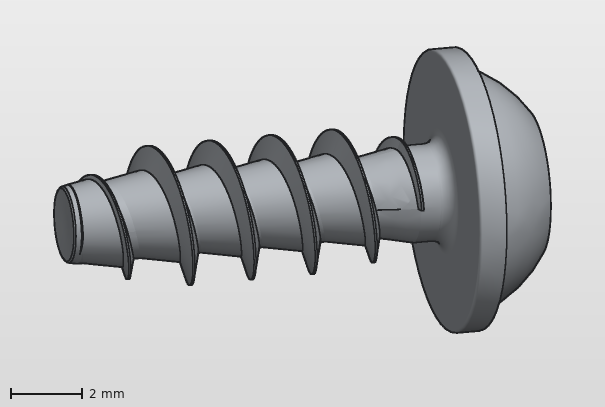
import cadquery as cq
import math


flange_radius = 4.0
flange_thickness = 0.8
flange_edge_round = 0.08
head_height = 2.6
dome_base_radius = 3.5
dome_top_radius = 2.11

shank_length = 11.0
neck_radius = 1.37
neck_length = 0.97
neck_fillet = 0.4
groove_radius = 1.125
groove_top_depth = 2.1
tip_radius = 1.08
tip_taper = 0.165
tip_edge_chamfer = 0.05
tip_dimple_depth = 0.05

pitch = 1.78
thread_radius = 2.0
flank_slope = math.tan(math.radians(18))
crest_half_width = 0.03
phase_depth = 0.725
lead_in_turns = 0.25
full_height_start = 1.25
full_height_end = 4.35
last_turn = 5.62
crest_radius_at_start = 1.52
crest_radius_at_end = 1.11
root_radius = 1.335
root_taper = 0.185
root_cone_radius_at_tip = 1.07
last_root_depth = 10.8
buried_radius = 1.07
turn_gap = 0.01
stations_per_turn = 12


def revolve_about_axis(profile):
    return profile.close().revolve(360, (0, 0, 0), (0, 1, 0))


def make_flange():
    disc = cq.Workplane("XZ").circle(flange_radius).extrude(-flange_thickness)
    return disc.edges().fillet(flange_edge_round)


def make_dome():
    """Spherical dome, centred on the axis and cut flat at the top."""
    rim_gap = dome_base_radius**2 + flange_thickness**2 - dome_top_radius**2 - head_height**2
    centre_y = rim_gap / (2 * (flange_thickness - head_height))
    sphere_radius = math.hypot(dome_base_radius, flange_thickness - centre_y)
    middle_y = (flange_thickness + head_height) / 2
    middle_radius = math.sqrt(sphere_radius**2 - (middle_y - centre_y) ** 2)
    base_y = flange_thickness / 2
    profile = (
        cq.Workplane("XY")
        .moveTo(0, base_y)
        .lineTo(dome_base_radius, base_y)
        .lineTo(dome_base_radius, flange_thickness)
        .threePointArc((middle_radius, middle_y), (dome_top_radius, head_height))
        .lineTo(0, head_height)
    )
    return revolve_about_axis(profile)


def make_core():
    """Filleted neck, cone down to the groove radius, core and dimpled tip."""
    taper_start = shank_length - (groove_radius - tip_radius) / tip_taper
    arc_offset = neck_fillet * (1 - math.sqrt(0.5))
    overlap = flange_thickness / 2
    profile = (
        cq.Workplane("XY")
        .moveTo(0, overlap)
        .lineTo(neck_radius + neck_fillet, overlap)
        .lineTo(neck_radius + neck_fillet, 0)
        .threePointArc((neck_radius + arc_offset, -arc_offset), (neck_radius, -neck_fillet))
        .lineTo(neck_radius, -neck_length)
        .lineTo(groove_radius, -groove_top_depth)
        .lineTo(groove_radius, -taper_start)
        .lineTo(tip_radius, -shank_length + tip_edge_chamfer)
        .lineTo(tip_radius - tip_edge_chamfer, -shank_length)
        .lineTo(0, -shank_length + tip_dimple_depth)
    )
    return revolve_about_axis(profile)


def helix_depth(turn):
    depth = phase_depth + pitch * turn
    if turn < lead_in_turns:
        lead_in_end = phase_depth + pitch * lead_in_turns
        depth = neck_length + (lead_in_end - neck_length) * turn / lead_in_turns
    return depth


def crest_radius(turn):
    if turn < full_height_start:
        rise = turn / full_height_start
        return crest_radius_at_start + (thread_radius - crest_radius_at_start) * rise
    if turn > full_height_end:
        fall = (turn - full_height_end) / (last_turn - full_height_end)
        return thread_radius - (thread_radius - crest_radius_at_end) * fall
    return thread_radius


def thread_section(turn):
    """Corners of the thread and of the tapered core below it, in the axial plane at this turn."""
    depth = helix_depth(turn)
    crest = crest_radius(turn)
    upper_foot = depth - crest_half_width - (crest - buried_radius) * flank_slope
    lower_edge = depth + crest_half_width
    fading_root = root_cone_radius_at_tip + root_taper * (shank_length - lower_edge)
    root = min(root_radius, fading_root, crest - crest_half_width)
    lower_foot = lower_edge + (crest - root) * flank_slope
    full_foot = crest_half_width + (thread_radius - buried_radius) * flank_slope
    taper_end = min(depth + pitch - full_foot - turn_gap, last_root_depth)
    corners = [
        (buried_radius, upper_foot),
        (crest, depth - crest_half_width),
        (crest, lower_edge),
        (root, lower_foot),
        (root - root_taper * (taper_end - lower_foot), taper_end),
    ]
    angle = 2 * math.pi * turn
    return [cq.Vector(r * math.cos(angle), -d, r * math.sin(angle)) for r, d in corners]


def make_thread_stretch(start_turn, end_turn):
    """Helical ridge bounded by ruled faces between the helices of its section corners."""
    count = math.ceil((end_turn - start_turn) * stations_per_turn)
    step = (end_turn - start_turn) / count
    sections = [thread_section(start_turn + i * step) for i in range(count + 1)]
    helices = [
        cq.Edge.makeSpline(list(corner_path), parameters=range(count + 1))
        for corner_path in zip(*sections)
    ]
    faces = [
        cq.Face.makeRuledSurface(helix, following)
        for helix, following in zip(helices, helices[1:] + helices[:1])
    ]
    for end_section in (sections[0], sections[-1]):
        faces.append(cq.Face.makeFromWires(cq.Wire.makePolygon(end_section, close=True)))
    ridge = cq.Solid.makeSolid(cq.Shell.makeShell(faces))
    return cq.Workplane("XY").newObject([ridge.fix()])


screw = make_flange().union(make_dome()).union(make_core())

stretch_ends = [0, lead_in_turns, full_height_start, full_height_end, last_turn]
for start_turn, end_turn in zip(stretch_ends, stretch_ends[1:]):
    screw = screw.union(make_thread_stretch(start_turn, end_turn))

result = screw.solids()